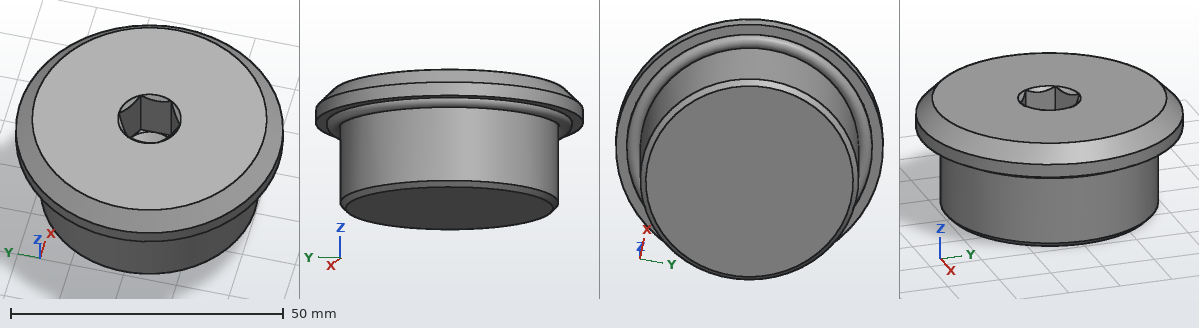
import cadquery as cq
import math

total_height = 21.5

head_diameter = 49.0
head_thickness = 5.5
head_chamfer = 3.0

shank_diameter = 40.0
shank_chamfer = 1.0

ring_section_diameter = 2.5
ring_projection = 1.5
groove_depth = ring_section_diameter - ring_projection

socket_across_flats = 10.0
socket_depth = 10.0
socket_chamfer_angle = 45.0
hexagon_sides = 6
hexagon_half_angle = 180.0 / hexagon_sides
drill_point_angle = 120.0

head_radius = head_diameter / 2
shank_radius = shank_diameter / 2
shank_length = total_height - head_thickness
ring_section_radius = ring_section_diameter / 2
ring_center_radius = shank_radius + ring_section_radius
ring_center_height = shank_length - ring_projection + ring_section_radius
socket_across_corners = socket_across_flats / math.cos(math.radians(hexagon_half_angle))
socket_floor_height = total_height - socket_depth


def make_plug_blank():
    """Head and shank, with the O-ring groove around the top of the shank."""
    head = (
        cq.Workplane("XY", origin=(0, 0, shank_length))
        .circle(head_radius)
        .extrude(head_thickness)
        .faces(">Z")
        .chamfer(head_chamfer)
    )
    shank = (
        cq.Workplane("XY")
        .circle(shank_radius)
        .extrude(shank_length)
        .faces("<Z")
        .chamfer(shank_chamfer)
    )
    groove = (
        cq.Workplane("XY", origin=(0, 0, shank_length))
        .circle(shank_radius + ring_section_diameter)
        .circle(shank_radius)
        .extrude(groove_depth)
    )
    return head.union(shank).cut(groove)


def make_socket():
    """Tool volume of the hexagon socket: two of its flats face along X."""
    hexagon = (
        cq.Workplane("XY", origin=(0, 0, socket_floor_height))
        .transformed(rotate=(0, 0, hexagon_half_angle))
        .polygon(hexagon_sides, socket_across_corners)
        .extrude(socket_depth)
    )
    mouth_radius = socket_across_corners / 2
    mouth_depth = mouth_radius / math.tan(math.radians(socket_chamfer_angle))
    mouth_cone = cq.Workplane(
        cq.Solid.makeCone(
            mouth_radius, 0, mouth_depth,
            pnt=cq.Vector(0, 0, total_height), dir=cq.Vector(0, 0, -1),
        )
    )
    point_radius = socket_across_flats / 2
    point_depth = point_radius / math.tan(math.radians(drill_point_angle / 2))
    drill_point = cq.Workplane(
        cq.Solid.makeCone(
            point_radius, 0, point_depth,
            pnt=cq.Vector(0, 0, socket_floor_height), dir=cq.Vector(0, 0, -1),
        )
    )
    return hexagon.union(mouth_cone).union(drill_point)


def make_plug():
    return make_plug_blank().cut(make_socket()).solids()


def make_o_ring():
    return cq.Workplane(
        cq.Solid.makeTorus(
            ring_center_radius, ring_section_radius,
            pnt=cq.Vector(0, 0, ring_center_height),
        )
    )


plug = make_plug()
o_ring = make_o_ring()

result = cq.Compound.makeCompound([plug.val(), o_ring.val()])